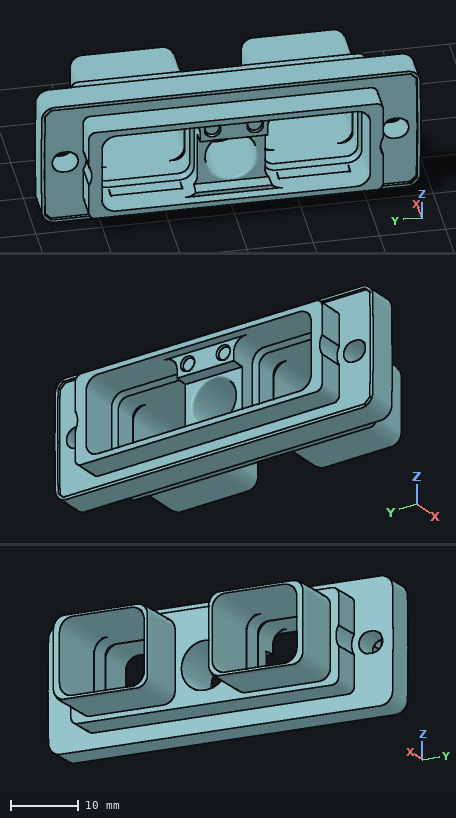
import cadquery as cq
import math

FLANGE_FRONT = 4.0
FLANGE_BACK = 9.0
SHELL_DEPTH = 14.2
TOTAL_DEPTH = 22.95
WEB_FRONT = 1.8
RECESS_FLOOR = 3.95
TAPER_START = 6.65
TAPER_END = 7.75
DUCT_BORE_FRONT = 11.5

FLANGE_LENGTH = 57.4
FLANGE_HEIGHT = 20.25
FLANGE_CORNER = 2.0
FLANGE_CROWN = 0.1
RIM_WIDTH = 0.5
RIM_DEPTH = 0.5
RIM_BEVEL = 0.9
SLOT_OFFSET = 25.0
SLOT_LENGTH = 3.9
SLOT_HEIGHT = 3.45

SHELL_LENGTH = 44.5
SHELL_HEIGHT = 15.15
SHELL_CORNER = 1.1
SCREW_RELIEF_RADIUS = 3.15

MOUTH_LENGTH = 40.55
MOUTH_HEIGHT = 13.2
MOUTH_CORNER = 2.2
WEB_WIDTH = 10.2
POCKET_INSET = 0.45
DUCT_LENGTH = 15.95
DUCT_HEIGHT = 13.45
DUCT_OFFSET = 12.9
DUCT_CORNER = 1.95
DUCT_BORE_LENGTH = 14.05
DUCT_BORE_CORNER = 2.2
DUCT_TIP_LENGTH = 0.75
DUCT_TIP_INSET = 0.2
NOTCH_FRONT = 4.3
NOTCH_BACK = 5.95
NOTCH_DEPTH = 0.45

RECESS_BOTTOM = -5.95
RECESS_TOP = 2.9
RECESS_DRAFT = 0.1
BORE_DIAMETER = 7.75
BORE_ROUNDING = 0.4
BORE_Z = -1.5
PIN_OFFSET = 3.2
PIN_Z = 4.8
PIN_DIAMETER = 2.1
PIN_SINK = 0.4
PIN_BACK = 9.05
PIN_HOLE_FLARE = 0.2

POCKET_LENGTH = (MOUTH_LENGTH - WEB_WIDTH) / 2
THROAT_HEIGHT = MOUTH_HEIGHT - 2 * POCKET_INSET
POCKET_OFFSET = (MOUTH_LENGTH + WEB_WIDTH) / 4
SIDES = (-1, 1)


def plane_at(x):
    """Sketch plane facing +X at depth x; sketch axes are Y and Z."""
    return cq.Workplane("YZ", origin=(x, 0, 0))


def rounded_block(x0, x1, length, height, corner, y=0.0):
    return plane_at(x0).center(y, 0).rect(length, height).extrude(x1 - x0).edges("|X").fillet(corner)


def crowned_block(x0, x1, inset):
    """Block whose two ends rise to a shallow ridge at mid height."""
    half_length = FLANGE_LENGTH / 2 - inset
    half_height = FLANGE_HEIGHT / 2 - inset
    end = half_length - FLANGE_CROWN
    outline = [
        (end, -half_height),
        (half_length, 0),
        (end, half_height),
        (-end, half_height),
        (-half_length, 0),
        (-end, -half_height),
    ]
    return plane_at(x0).polyline(outline).close().extrude(x1 - x0)


def corner_edges(block):
    return block.edges("|X").edges("<Z or >Z")


def make_flange():
    flange = corner_edges(crowned_block(FLANGE_FRONT, FLANGE_BACK, 0)).fillet(FLANGE_CORNER)
    recess = crowned_block(FLANGE_FRONT, FLANGE_FRONT + RIM_DEPTH, RIM_WIDTH)
    return flange.cut(corner_edges(recess).chamfer(RIM_BEVEL))


def make_shell():
    shell = rounded_block(0, SHELL_DEPTH, SHELL_LENGTH, SHELL_HEIGHT, SHELL_CORNER)
    reliefs = (
        plane_at(0)
        .pushPoints([(side * SLOT_OFFSET, 0) for side in SIDES])
        .circle(SCREW_RELIEF_RADIUS)
        .extrude(SHELL_DEPTH)
    )
    return shell.cut(reliefs)


def make_duct(side):
    """Outer body of the duct that leads back from one pocket."""
    duct = rounded_block(
        SHELL_DEPTH, TOTAL_DEPTH, DUCT_LENGTH, DUCT_HEIGHT, DUCT_CORNER, side * DUCT_OFFSET
    )
    return duct.faces(">X").chamfer(DUCT_TIP_LENGTH, DUCT_TIP_INSET)


def make_pocket(side):
    """Cavity of one pocket: straight, then a short taper, then a throat and the duct bore."""
    y = side * POCKET_OFFSET
    pocket = rounded_block(WEB_FRONT, TAPER_START, POCKET_LENGTH, MOUTH_HEIGHT, MOUTH_CORNER, y)
    slope = math.degrees(math.atan(POCKET_INSET / (TAPER_END - TAPER_START)))
    taper = (
        pocket.faces(">X").wires().toPending().workplane()
        .extrude(TAPER_END - TAPER_START, taper=slope, combine=False)
    )
    throat = rounded_block(
        TAPER_END, DUCT_BORE_FRONT, POCKET_LENGTH - 2 * POCKET_INSET, THROAT_HEIGHT,
        MOUTH_CORNER - POCKET_INSET, y,
    )
    bore = rounded_block(
        DUCT_BORE_FRONT, TOTAL_DEPTH, DUCT_BORE_LENGTH, THROAT_HEIGHT, DUCT_BORE_CORNER, y
    )
    return pocket.union(taper).union(throat).union(bore)


def make_notch(side):
    """Wedge cut in the pocket floor, deepest at its front."""
    width = POCKET_LENGTH - 2 * MOUTH_CORNER
    floor = -MOUTH_HEIGHT / 2
    return (
        cq.Workplane("XZ", origin=(0, side * POCKET_OFFSET, 0))
        .polyline([(NOTCH_FRONT, floor), (NOTCH_BACK, floor), (NOTCH_FRONT, floor - NOTCH_DEPTH)])
        .close()
        .extrude(width / 2, both=True)
    )


def make_recess():
    """Window recess across the web, its top and bottom drafted towards the floor."""
    width = WEB_WIDTH + 2 * MOUTH_CORNER
    outline = [
        (WEB_FRONT, RECESS_BOTTOM),
        (RECESS_FLOOR, RECESS_BOTTOM + RECESS_DRAFT),
        (RECESS_FLOOR, RECESS_TOP - RECESS_DRAFT),
        (WEB_FRONT, RECESS_TOP),
    ]
    return cq.Workplane("XZ").polyline(outline).close().extrude(width / 2, both=True)


def make_pin_hole(side):
    """Blind hole whose mouth flares out above the sunk pin."""
    radius = PIN_DIAMETER / 2
    center = cq.Vector(WEB_FRONT, side * PIN_OFFSET, PIN_Z)
    along = cq.Vector(1, 0, 0)
    flare = cq.Solid.makeCone(radius + PIN_HOLE_FLARE, radius, PIN_SINK, center, along)
    hole = cq.Solid.makeCylinder(radius, PIN_BACK - WEB_FRONT, center, along)
    return cq.Workplane(hole).union(cq.Workplane(flare))


def make_housing():
    housing = make_flange().union(make_shell())
    for side in SIDES:
        housing = housing.union(make_duct(side))
    housing = housing.cut(rounded_block(0, WEB_FRONT, MOUTH_LENGTH, MOUTH_HEIGHT, MOUTH_CORNER))
    for side in SIDES:
        housing = housing.cut(make_pocket(side)).cut(make_notch(side))
    slots = (
        plane_at(0)
        .pushPoints([(side * SLOT_OFFSET, 0) for side in SIDES])
        .slot2D(SLOT_LENGTH, SLOT_HEIGHT)
        .extrude(TOTAL_DEPTH)
    )
    bore = plane_at(RECESS_FLOOR).center(0, BORE_Z).circle(BORE_DIAMETER / 2).extrude(TOTAL_DEPTH)
    housing = housing.cut(slots).cut(make_recess()).cut(bore)
    housing = housing.edges(cq.NearestToPointSelector((RECESS_FLOOR, 0, BORE_Z))).fillet(BORE_ROUNDING)
    for side in SIDES:
        housing = housing.cut(make_pin_hole(side))
    return housing


def make_pin(side):
    start = WEB_FRONT + PIN_SINK
    return plane_at(start).center(side * PIN_OFFSET, PIN_Z).circle(PIN_DIAMETER / 2).extrude(PIN_BACK - start)


housing = make_housing()
pins = [make_pin(side) for side in SIDES]
result = cq.Compound.makeCompound([housing.val(), *[pin.val() for pin in pins]])